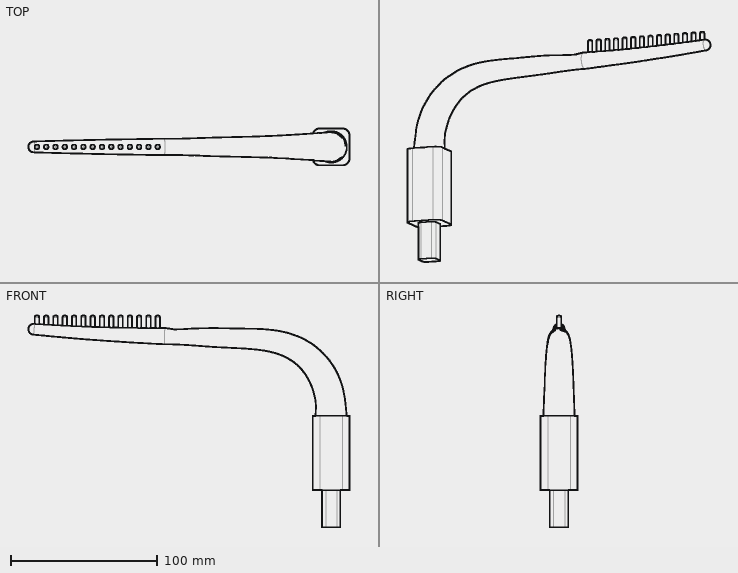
import cadquery as cq

OVERALL_LENGTH = 219.64
OVERALL_HEIGHT = 144.78

BLOCK_WIDTH = 25.4
BLOCK_HEIGHT = 2 * BLOCK_WIDTH
BLOCK_CORNER_RADIUS = 5.08
TANG_WIDTH = BLOCK_WIDTH / 2
TANG_HEIGHT = BLOCK_WIDTH
TANG_CORNER_RADIUS = 2.54

TIP_RADIUS = 3.81
TIP_X = BLOCK_WIDTH / 2 - OVERALL_LENGTH + TIP_RADIUS
TIP_Z = 59.2
ROOT_DIRECTION = cq.Vector(0, 0, 1)
TIP_DIRECTION = cq.Vector(-1, 0, 0.08)

ARM_STATIONS = [
    (0, 0, 21.5),
    (-2.2, 18.3, 20.2),
    (-14.3, 38.7, 18.3),
    (-31.0, 48.8, 16.2),
    (-46.6, 52.0, 14.7),
    (-68.0, 53.1, 13.5),
    (-90.0, 53.8, 12.3),
    (-114.0, 54.5, 11.4),
    (-168.0, 56.7, 9.5),
    (TIP_X, TIP_Z, 2 * TIP_RADIUS),
]
JOINT_STATION = 7

PIN_COUNT = 14
PIN_DIAMETER = 3.17
PIN_PITCH = 6.35
PIN_EDGE_RADIUS = 1.27
FIRST_PIN_INSET = 2.1
FIRST_PIN_X = TIP_X + FIRST_PIN_INSET
PIN_TOP_Z = OVERALL_HEIGHT - BLOCK_HEIGHT - TANG_HEIGHT
PIN_BOTTOM_Z = 57.0


def square_bar(width, height, corner_radius, top_z):
    """Upright square bar with rounded corners, hanging down from top_z."""
    bar = cq.Workplane("XY", origin=(0, 0, top_z)).rect(width, width).extrude(-height)
    return bar.edges("|Z").fillet(corner_radius)


def arm_sections():
    """Round sections set square to the smooth centre line of the arm."""
    centres = [cq.Vector(x, 0, z) for x, z, _ in ARM_STATIONS]
    centre_line = cq.Edge.makeSpline(centres, tangents=[ROOT_DIRECTION, TIP_DIRECTION])
    side = cq.Vector(0, 1, 0)
    sections = []
    for centre, (_, _, diameter) in zip(centres, ARM_STATIONS):
        direction = centre_line.tangentAt(centre_line.paramAt(centre), mode="parameter")
        plane = cq.Plane(origin=centre, xDir=side, normal=direction)
        sections.append(cq.Workplane(plane).circle(diameter / 2).wires().val())
    return sections


def tapered_arm(sections):
    """Smooth round solid through the given sections."""
    return cq.Workplane(cq.Solid.makeLoft(sections))


def rounded_tip():
    """Ball closing the thin end of the arm."""
    return cq.Workplane("XY", origin=(TIP_X, 0, TIP_Z)).sphere(TIP_RADIUS)


def pin(x):
    """Upright pin with a rounded top edge, rooted inside the arm."""
    body = cq.Workplane("XY", origin=(x, 0, PIN_BOTTOM_Z)).circle(PIN_DIAMETER / 2)
    return body.extrude(PIN_TOP_Z - PIN_BOTTOM_Z).faces(">Z").edges().fillet(PIN_EDGE_RADIUS)


block = square_bar(BLOCK_WIDTH, BLOCK_HEIGHT, BLOCK_CORNER_RADIUS, 0)
tang = square_bar(TANG_WIDTH, TANG_HEIGHT, TANG_CORNER_RADIUS, -BLOCK_HEIGHT)

arm_rings = arm_sections()
inner_arm = tapered_arm(arm_rings[:JOINT_STATION + 1])
outer_arm = tapered_arm(arm_rings[JOINT_STATION:]).union(rounded_tip())
for index in range(PIN_COUNT):
    outer_arm = outer_arm.union(pin(FIRST_PIN_X + index * PIN_PITCH))

result = block.union(tang).union(inner_arm).union(outer_arm)